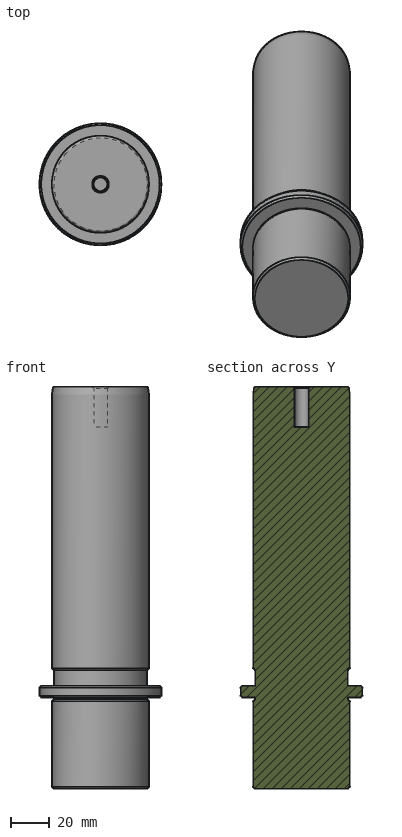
import cadquery as cq

length = 207.0

body_radius = 25.0
neck_radius = 24.0
flange_radius = 31.5
lead_radius = 24.6

flange_bottom = 47.0
flange_thickness = 6.2
relief_width = 0.8
neck_top = 61.0
lead_length = 4.0

bevel = 1.0
flange_bevel = 1.0
tip_round = 1.0

hole_radius = 3.5
hole_depth = 20.7
countersink = 0.8

flange_top = flange_bottom + flange_thickness
shank_top = flange_bottom - relief_width
shoulder = body_radius - neck_radius


def turned_body():
    """Revolve the stepped half profile about Z; profile points are (radius, height)."""
    profile = (
        cq.Workplane("XZ")
        .moveTo(0, 0)
        .lineTo(body_radius - bevel, 0)
        .lineTo(body_radius, bevel)
        .lineTo(body_radius, shank_top - shoulder)
        .lineTo(neck_radius, shank_top)
        .lineTo(neck_radius, flange_bottom)
        .lineTo(flange_radius - flange_bevel, flange_bottom)
        .lineTo(flange_radius, flange_bottom + flange_bevel)
        .lineTo(flange_radius, flange_top - flange_bevel)
        .lineTo(flange_radius - flange_bevel, flange_top)
        .lineTo(neck_radius, flange_top)
        .lineTo(neck_radius, neck_top)
        .lineTo(body_radius, neck_top + shoulder)
        .lineTo(body_radius, length - lead_length)
        .lineTo(lead_radius, length - tip_round)
        .radiusArc((lead_radius - tip_round, length), -tip_round)
        .lineTo(0, length)
        .close()
    )
    return profile.revolve(360, (0, 0, 0), (0, 1, 0))


def centre_hole():
    """Blind hole with a 45 degree countersink at its mouth."""
    floor = length - hole_depth
    mouth_radius = hole_radius + countersink
    return (
        cq.Workplane("XZ")
        .moveTo(0, floor)
        .lineTo(hole_radius, floor)
        .lineTo(hole_radius, length - countersink)
        .lineTo(mouth_radius, length)
        .lineTo(0, length)
        .close()
        .revolve(360, (0, 0, 0), (0, 1, 0))
    )


result = turned_body().cut(centre_hole())